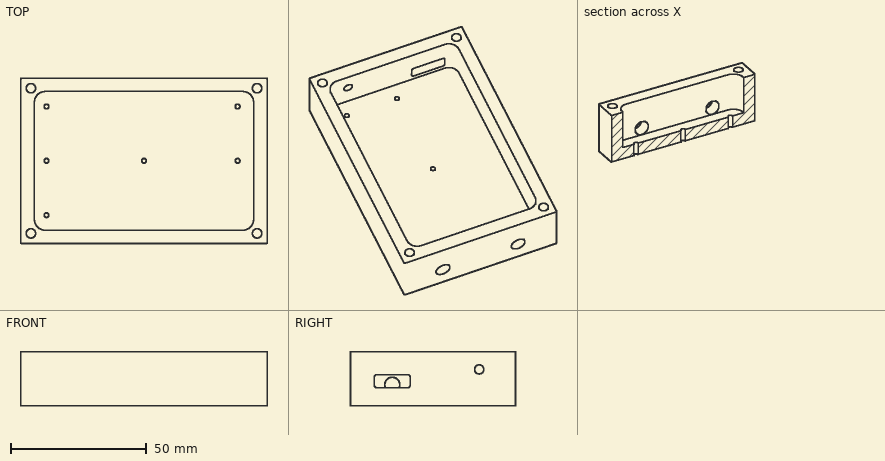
import cadquery as cq

length = 91.0
width = 61.0
height = 20.0
edge_radius = 0.5

cavity_length = 80.8
cavity_width = 51.1
cavity_radius = 4.0
floor_thickness = 5.0

screw_diameter = 3.5
screw_depth = 10.0
screw_point_depth = 1.0
screw_x = 41.7
screw_y = 26.75

mount_diameter = 1.6
mount_left_x = -35.9
mount_right_x = 34.5
mount_y = 20.0

cable_diameter = 5.5
cable_y = 15.0
cable_z = 7.8

small_diameter = 3.4
small_y = 17.0
small_z = 13.5
window_width = 13.3
window_bottom = 6.7
window_top = 11.6
window_radius = 1.0

cut_margin = 0.9
wall_cut_length = (length - cavity_length) / 2 + 2 * cut_margin
left_cut_x = -length / 2 - cut_margin
right_cut_x = cavity_length / 2 - cut_margin


def block():
    body = cq.Workplane("XY").box(length, width, height, centered=(True, True, False))
    return body.edges("|Z").fillet(edge_radius)


def cavity():
    depth = height - floor_thickness
    pocket = cq.Workplane("XY").box(cavity_length, cavity_width, depth, centered=(True, True, False))
    return pocket.edges("|Z").fillet(cavity_radius).translate((0, 0, floor_thickness))


def screw_hole(x, y):
    """Drilled hole from the rim, ending in a conical point."""
    radius = screw_diameter / 2
    bottom = height - screw_depth
    profile = (
        cq.Workplane("XZ")
        .moveTo(0, height)
        .lineTo(radius, height)
        .lineTo(radius, bottom)
        .lineTo(0, bottom - screw_point_depth)
        .close()
    )
    return profile.revolve(360, (0, 0, 0), (0, 1, 0)).translate((x, y, 0))


def mount_holes():
    points = [(0, 0), (mount_left_x, -mount_y)]
    for x in (mount_left_x, mount_right_x):
        points += [(x, 0), (x, mount_y)]
    return cq.Workplane("XY").pushPoints(points).circle(mount_diameter / 2).extrude(floor_thickness)


def wall_hole(start_x, y, z, diameter):
    plane = cq.Workplane("YZ", origin=(start_x, y, z))
    return plane.circle(diameter / 2).extrude(wall_cut_length)


def connector_window():
    """Round-cornered rectangular opening, in line with a cable hole."""
    window_height = window_top - window_bottom
    size = (wall_cut_length, window_width, window_height)
    window = cq.Workplane("XY").box(*size, centered=(False, True, False))
    return window.edges("|X").fillet(window_radius).translate((right_cut_x, -cable_y, window_bottom))


result = block().cut(cavity()).cut(mount_holes())
for side_x in (-screw_x, screw_x):
    for side_y in (-screw_y, screw_y):
        result = result.cut(screw_hole(side_x, side_y))
for hole_y in (-cable_y, cable_y):
    result = result.cut(wall_hole(left_cut_x, hole_y, cable_z, cable_diameter))
result = result.cut(wall_hole(right_cut_x, small_y, small_z, small_diameter))
result = result.cut(connector_window())